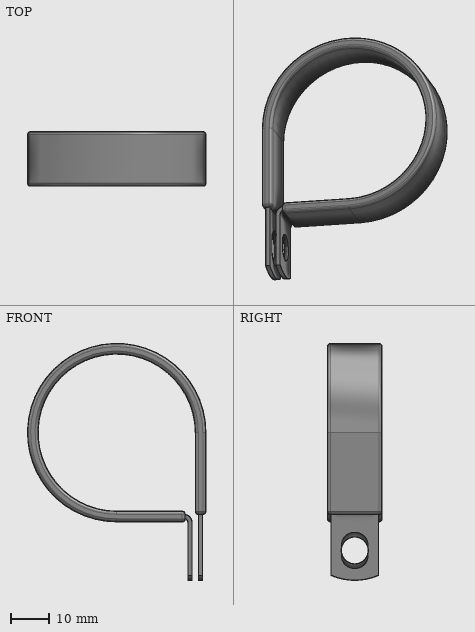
import cadquery as cq
import math

loop_radius = 23.44
cushion_thickness = 2.8
cushion_width = 14.3
cushion_edge_radius = 0.8
upright_leg_length = 21.5
level_leg_length = 18.0

strap_thickness = 1.1
strap_width = 12.5
bend_inner_radius = 1.0
bend_start_x = 17.7
tab_bottom_z = -38.81
tab_end_sag = 1.3
bolt_hole_diameter = 7.05
upright_tab_slot_length = 9.5
bolt_hole_to_tab_end = 7.875
embed_depth = 1.85

mid_radius = loop_radius - cushion_thickness / 2


def ring_point(radius, angle_degrees):
    angle = math.radians(angle_degrees)
    return (radius * math.cos(angle), radius * math.sin(angle))


def make_cushion():
    """Loop from the upright leg, over the top, round to the level leg, with rounded edges."""
    inner_radius = loop_radius - cushion_thickness
    cushion = (
        cq.Workplane("XZ")
        .moveTo(loop_radius, -upright_leg_length)
        .lineTo(loop_radius, 0)
        .threePointArc(ring_point(loop_radius, 135), (0, -loop_radius))
        .lineTo(level_leg_length, -loop_radius)
        .lineTo(level_leg_length, -inner_radius)
        .lineTo(0, -inner_radius)
        .threePointArc(ring_point(inner_radius, 135), (inner_radius, 0))
        .lineTo(inner_radius, -upright_leg_length)
        .close()
        .extrude(cushion_width / 2, both=True)
    )
    upright_end = cq.selectors.NearestToPointSelector((mid_radius, 0, -upright_leg_length))
    level_end = cq.selectors.NearestToPointSelector((level_leg_length, 0, -mid_radius))
    side_edges = cushion.faces("|Y").edges()
    end_edges = cushion.faces(upright_end).edges("|Y").add(cushion.faces(level_end).edges("|Y"))
    return cushion.newObject(side_edges.add(end_edges).vals()).fillet(cushion_edge_radius)


def make_upright_tab():
    """Straight tab running down out of the upright leg."""
    top_z = embed_depth - upright_leg_length
    return (
        cq.Workplane("XY", origin=(mid_radius, 0, tab_bottom_z))
        .rect(strap_thickness, strap_width)
        .extrude(top_z - tab_bottom_z)
    )


def make_bent_tab():
    """Tab leaving the level leg and turning down through a quarter bend."""
    bend_outer_radius = bend_inner_radius + strap_thickness
    strap_top = -mid_radius + strap_thickness / 2
    strap_bottom = strap_top - strap_thickness
    bend_z = strap_bottom - bend_inner_radius
    start_x = level_leg_length - embed_depth
    outer_mid = ring_point(bend_outer_radius, 45)
    inner_mid = ring_point(bend_inner_radius, 45)
    return (
        cq.Workplane("XZ")
        .moveTo(start_x, strap_top)
        .lineTo(bend_start_x, strap_top)
        .threePointArc(
            (bend_start_x + outer_mid[0], bend_z + outer_mid[1]),
            (bend_start_x + bend_outer_radius, bend_z),
        )
        .lineTo(bend_start_x + bend_outer_radius, tab_bottom_z)
        .lineTo(bend_start_x + bend_inner_radius, tab_bottom_z)
        .lineTo(bend_start_x + bend_inner_radius, bend_z)
        .threePointArc(
            (bend_start_x + inner_mid[0], bend_z + inner_mid[1]),
            (bend_start_x, strap_bottom),
        )
        .lineTo(start_x, strap_bottom)
        .close()
        .extrude(strap_width / 2, both=True)
    )


def make_tab_outline():
    """Block along X with the curved tab end, used to trim both tabs."""
    half_width = strap_width / 2
    shoulder_z = tab_bottom_z + tab_end_sag
    return (
        cq.Workplane("YZ")
        .moveTo(-half_width, 0)
        .lineTo(-half_width, shoulder_z)
        .threePointArc((0, tab_bottom_z), (half_width, shoulder_z))
        .lineTo(half_width, 0)
        .close()
        .extrude(loop_radius)
    )


hole_plane = cq.Workplane("YZ").center(0, tab_bottom_z + bolt_hole_to_tab_end)
round_hole = hole_plane.circle(bolt_hole_diameter / 2).extrude(loop_radius)
slotted_hole = hole_plane.slot2D(upright_tab_slot_length, bolt_hole_diameter, 90).extrude(loop_radius)

tab_outline = make_tab_outline()
upright_tab = make_upright_tab().intersect(tab_outline).cut(slotted_hole)
bent_tab = make_bent_tab().intersect(tab_outline).cut(round_hole)
result = make_cushion().union(upright_tab).union(bent_tab)